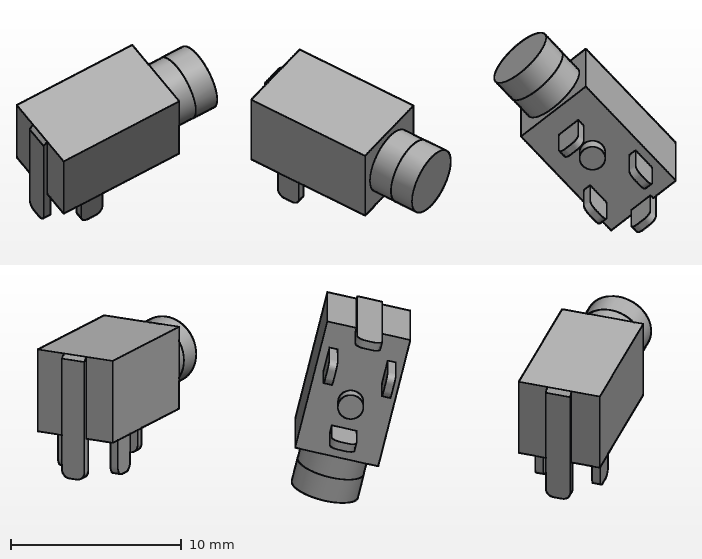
import cadquery as cq

body_side = 5.0
body_length = 8.1

neck_diameter = 4.0
collar_diameter = 4.02
barrel_section_length = 1.5

pin_width = 1.5
pin_thickness = 0.5
pin_drop = 2.5
pin_corner_radius = 0.5
front_pin_projection = 0.25
side_pin_inset = 0.5
side_pin_y = 2.3
rear_pin_y = 6.49

peg_diameter = 1.5
peg_drop = 0.8
peg_y = 4.6


def barrel_section(start_y, diameter):
    """Cylinder along +Y on the barrel axis."""
    section = cq.Workplane("XZ").circle(diameter / 2).extrude(-barrel_section_length)
    return section.translate((0, start_y, body_side / 2))


def crosswise_pin(center_y, top_z):
    """Pin lying across X, with rounded lower corners."""
    height = pin_drop + top_z
    return (
        cq.Workplane("XY")
        .box(pin_width, pin_thickness, height, centered=(True, True, False))
        .edges("|Y and <Z")
        .fillet(pin_corner_radius)
        .translate((0, center_y, -pin_drop))
    )


def front_pin():
    """Full-height pin half sunk in the front face, bevelled at its top front edge."""
    center_y = pin_thickness / 2 - front_pin_projection
    return crosswise_pin(center_y, body_side).edges(">Z and <Y").chamfer(front_pin_projection)


def side_pin(side):
    """Pin turned to lie along Y, near the side wall given by side = -1 or 1."""
    center_x = side * (body_side / 2 - side_pin_inset - pin_thickness / 2)
    pin = crosswise_pin(0, pin_thickness).rotate((0, 0, 0), (0, 0, 1), 90)
    return pin.translate((center_x, side_pin_y, 0))


body = cq.Workplane("XY").box(body_side, body_length, body_side, centered=(True, False, False))
peg = cq.Workplane("XY").center(0, peg_y).circle(peg_diameter / 2).extrude(-peg_drop)

result = (
    body.union(barrel_section(body_length, neck_diameter))
    .union(barrel_section(body_length + barrel_section_length, collar_diameter))
    .union(peg)
    .union(front_pin())
    .union(crosswise_pin(rear_pin_y, pin_thickness))
)
for side in (-1, 1):
    result = result.union(side_pin(side))